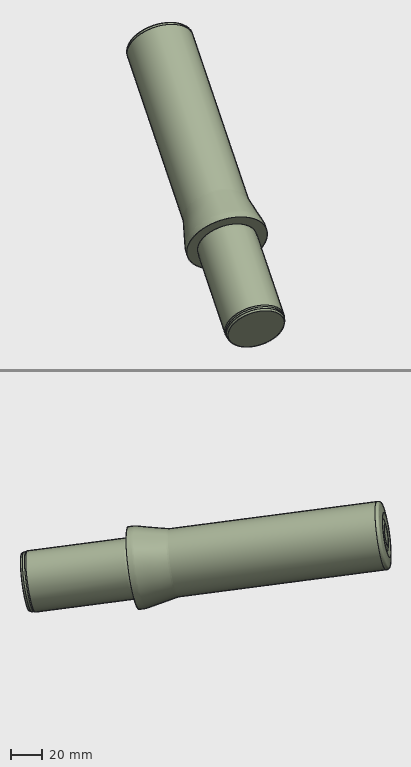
import cadquery as cq
import math

total_length = 237.0

head_length = 3.5
head_radius = 44.5 / 2
corner_radius = 2.0
head_rim_radius = head_radius - corner_radius
rim_x = 1.0
outer_crest_radius = 14.7
valley_radius = 10.5
valley_depth = 1.0
inner_crest_radius = 7.3
inner_crest_x = 0.2
center_depth = 1.2

barrel_radius = head_radius
taper_start_x = 139.8
collar_start_x = 161.9
taper_blend_radius = 4.7
blend_margin = 1.2
collar_end_x = 166.1
collar_radius = 54.0 / 2
neck_radius = 39.5 / 2
neck_end_x = 168.5
shank_radius = 40.0 / 2
relief_length = 1.5
shank_end_x = 233.2
end_land_start_x = 234.2
end_land_radius = 39.0 / 2
end_chamfer_length = 1.5
end_chamfer_depth = 0.7


def revolve_about_x(outline):
    """Revolve an open (X, radius) outline that starts and ends on the X axis."""
    return outline.close().revolve(360, (0, 0, 0), (1, 0, 0))


def make_cutting_head():
    """Short disc with a rounded front corner, whose face has two coaxial crests and a hollow centre."""
    corner_end_x = rim_x + corner_radius
    arc_offset = corner_radius * math.sqrt(0.5)
    corner_middle = (corner_end_x - arc_offset, head_rim_radius + arc_offset)
    outline = (
        cq.Workplane("XY")
        .moveTo(center_depth, 0)
        .lineTo(inner_crest_x, inner_crest_radius)
        .lineTo(valley_depth, valley_radius)
        .lineTo(0, outer_crest_radius)
        .lineTo(rim_x, head_rim_radius)
        .threePointArc(corner_middle, (corner_end_x, head_radius))
        .lineTo(head_length, head_radius)
        .lineTo(head_length, 0)
    )
    return revolve_about_x(outline)


def make_holder():
    """Barrel, collar and shank, with a neck behind the collar and a stepped rear end."""
    outline = cq.Workplane("XY").polyline([
        (head_length, 0),
        (head_length, barrel_radius),
        (taper_start_x, barrel_radius),
        (collar_start_x, collar_radius),
        (collar_end_x, collar_radius),
        (collar_end_x, neck_radius),
        (neck_end_x - relief_length, neck_radius),
        (neck_end_x, shank_radius),
        (shank_end_x, shank_radius),
        (end_land_start_x, end_land_radius),
        (total_length - end_chamfer_length, end_land_radius),
        (total_length, end_land_radius - end_chamfer_depth),
        (total_length, 0),
    ])
    holder = revolve_about_x(outline)
    taper_ends = cq.selectors.BoxSelector(
        (taper_start_x - blend_margin, -collar_radius, -collar_radius),
        (collar_start_x + blend_margin, collar_radius, collar_radius),
    )
    return holder.edges("%CIRCLE").edges(taper_ends).fillet(taper_blend_radius)


cutting_head = make_cutting_head()
holder = make_holder()

result = cq.Compound.makeCompound([cutting_head.val(), holder.val()])